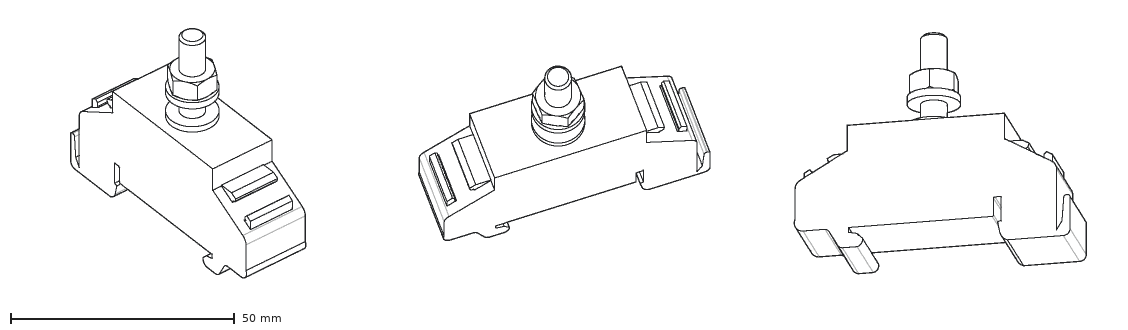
import cadquery as cq
import math


WIDTH = 17.0
BLOCK_HALF = 18.0
HOUSING_HALF = 29.9
BLOCK_TOP = 30.3
SHOULDER_Z = 24.2
SHOULDER_SLOPE = math.tan(math.radians(30))
SHOULDER_ROUND = 2.3
RAIL_Z = 5.85
SLOT_LEFT = -17.2
SLOT_RIGHT = -15.5
SLOT_TOP = 10.5
SLOT_ROUND = 0.3

HEEL_RADIUS = 2.0
HEEL_X = 28.1
HEEL_Z = RAIL_Z + HEEL_RADIUS

HOOK_BOTTOM = 1.15
HOOK_THROAT = 17.65
CATCH_Z = 4.75

LEVER_OUTER = -33.0
LEVER_INNER = -31.6
LEVER_TOP = 9.7
LEVER_TIP_ROUND = 0.6
FOOT_ROUND = 1.5

CLIP_WIDTH = 12.0
CLIP_TOP = 24.5
CLIP_SINK = 0.6

STUD_DIAMETER = 6.0
STUD_TOP = 53.1
STUD_CHAMFER = 0.6
WASHER_DIAMETER = 2 * STUD_DIAMETER
COLLAR_HEIGHT = 1.5
WASHER_BOTTOM = 6.55
WASHER_HEIGHT = 1.75
NUT_HEIGHT = 5.0
NUT_FLATS = 10.1
NUT_TURN = 3.0
NUT_CONE_ANGLE = 30.0


def shoulder_height(x):
    """Height of the sloping shoulder at a distance x from the stud axis."""
    return SHOULDER_Z - (abs(x) - BLOCK_HALF) * SHOULDER_SLOPE


def extrude_centered(sketch, width):
    return sketch.extrude(width / 2, both=True)


def round_edge(body, x, z, radius):
    """Round the widthwise edge nearest to the profile corner (x, z)."""
    return body.edges("|Y").edges(cq.NearestToPointSelector((x, 0, z))).fillet(radius)


def make_housing():
    end_z = shoulder_height(HOUSING_HALF)
    heel_start_z = HEEL_Z + math.sqrt(HEEL_RADIUS**2 - (HOUSING_HALF - HEEL_X)**2)
    profile = (
        cq.Workplane("XZ")
        .moveTo(-BLOCK_HALF, BLOCK_TOP)
        .lineTo(BLOCK_HALF, BLOCK_TOP)
        .lineTo(BLOCK_HALF, SHOULDER_Z)
        .lineTo(HOUSING_HALF, end_z)
        .lineTo(HOUSING_HALF, heel_start_z)
        .threePointArc((HEEL_X + HEEL_RADIUS, HEEL_Z), (HEEL_X, RAIL_Z))
        .lineTo(23.0, RAIL_Z)
        .threePointArc((22.4, 5.55), (21.95, 5.0))
        .lineTo(20.45, 2.15)
        .threePointArc((19.9, 1.45), (19.05, HOOK_BOTTOM))
        .lineTo(15.7, HOOK_BOTTOM)
        .threePointArc((14.75, 1.75), (14.5, 3.1))
        .lineTo(15.7, 4.3)
        .lineTo(HOOK_THROAT, CATCH_Z)
        .lineTo(HOOK_THROAT, RAIL_Z)
        .lineTo(SLOT_RIGHT, RAIL_Z)
        .lineTo(SLOT_RIGHT, SLOT_TOP)
        .lineTo(SLOT_LEFT, SLOT_TOP)
        .lineTo(SLOT_LEFT, CATCH_Z)
        .lineTo(-16.4, 4.5)
        .lineTo(-17.0, 1.8)
        .threePointArc((-17.55, 0.75), (-18.7, 0))
        .lineTo(LEVER_OUTER, 0)
        .lineTo(LEVER_OUTER, LEVER_TOP)
        .lineTo(LEVER_INNER, LEVER_TOP)
        .lineTo(-31.2, 3.6)
        .lineTo(-HOUSING_HALF, 1.45)
        .lineTo(-HOUSING_HALF, end_z)
        .lineTo(-BLOCK_HALF, SHOULDER_Z)
        .close()
    )
    body = extrude_centered(profile, WIDTH)
    rounded_corners = [
        (HOUSING_HALF, end_z, SHOULDER_ROUND),
        (-HOUSING_HALF, end_z, SHOULDER_ROUND),
        (SLOT_RIGHT, RAIL_Z, SLOT_ROUND),
        (SLOT_RIGHT, SLOT_TOP, SLOT_ROUND),
        (LEVER_OUTER, 0, FOOT_ROUND),
        (LEVER_OUTER, LEVER_TOP, LEVER_TIP_ROUND),
        (LEVER_INNER, LEVER_TOP, LEVER_TIP_ROUND),
    ]
    for x, z, radius in rounded_corners:
        body = round_edge(body, x, z, radius)
    return body


def make_label_clips():
    """Upper hook and lower post on the left shoulder."""
    hook_root = -21.9
    hook = [
        (-BLOCK_HALF, CLIP_TOP),
        (-21.6, CLIP_TOP),
        (-23.1, 23.65),
        (-22.85, 22.7),
        (-22.0, 22.35),
        (hook_root, shoulder_height(hook_root)),
        (hook_root, shoulder_height(hook_root) - CLIP_SINK),
        (-BLOCK_HALF, SHOULDER_Z - CLIP_SINK),
    ]
    post_outer = -28.4
    post_root = -26.1
    post = [
        (post_outer, shoulder_height(post_outer) - CLIP_SINK),
        (post_outer, 20.6),
        (-27.1, 21.3),
        (-26.5, 20.7),
        (-26.5, 19.55),
        (post_root, shoulder_height(post_root)),
        (post_root, shoulder_height(post_root) - CLIP_SINK),
    ]
    hook_solid = extrude_centered(cq.Workplane("XZ").polyline(hook).close(), CLIP_WIDTH)
    post_solid = extrude_centered(cq.Workplane("XZ").polyline(post).close(), CLIP_WIDTH)
    return hook_solid.add(post_solid).combine()


def make_disc(diameter, bottom, height):
    return cq.Workplane("XY").workplane(offset=bottom).circle(diameter / 2).extrude(height)


def make_nut(bottom):
    """Hexagon nut with both ends trimmed by a shallow cone."""
    corner_radius = NUT_FLATS / 2 / math.cos(math.radians(30))
    cone_drop = (corner_radius - NUT_FLATS / 2) * math.tan(math.radians(NUT_CONE_ANGLE))
    hexagon = (
        cq.Workplane("XY")
        .polygon(6, 2 * corner_radius)
        .extrude(NUT_HEIGHT)
        .rotate((0, 0, 0), (0, 0, 1), 90 + NUT_TURN)
    )
    envelope = (
        cq.Workplane("XZ")
        .polyline([
            (0, 0),
            (NUT_FLATS / 2, 0),
            (corner_radius, cone_drop),
            (corner_radius, NUT_HEIGHT - cone_drop),
            (NUT_FLATS / 2, NUT_HEIGHT),
            (0, NUT_HEIGHT),
        ])
        .close()
        .revolve(360, (0, 0, 0), (0, 1, 0))
    )
    return hexagon.intersect(envelope).translate((0, 0, bottom))


def make_stud():
    washer_z = BLOCK_TOP + WASHER_BOTTOM
    shank = make_disc(STUD_DIAMETER, BLOCK_TOP, STUD_TOP - BLOCK_TOP)
    shank = shank.faces(">Z").chamfer(STUD_CHAMFER)
    collar = make_disc(WASHER_DIAMETER, BLOCK_TOP, COLLAR_HEIGHT)
    washer = make_disc(WASHER_DIAMETER, washer_z, WASHER_HEIGHT)
    nut = make_nut(washer_z + WASHER_HEIGHT)
    return shank.union(collar).union(washer).union(nut)


left_clips = make_label_clips()
right_clips = left_clips.mirror("YZ")
result = make_housing().union(left_clips).union(right_clips).union(make_stud())